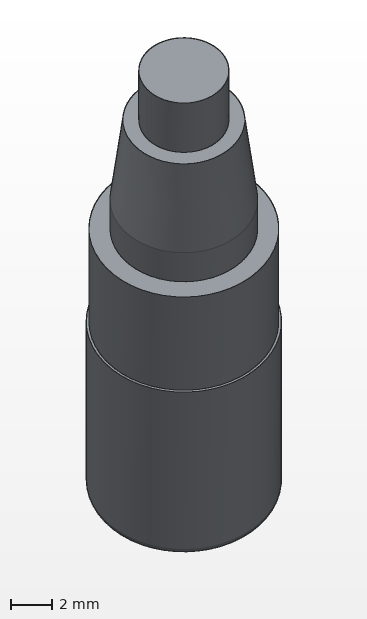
import cadquery as cq

total_height = 29.3
neck_top = 25.8
taper_base = 20.2
shoulder_height = 18.15
sleeve_height = 11.55

sleeve_diameter = 9.52
barrel_diameter = 9.25
collar_diameter = 7.2
neck_diameter = 5.95
cable_diameter = 4.4

base_fillet = 0.4


def revolve_about_z(profile):
    """Turn a closed (radius, height) outline into a round solid about Z."""
    return cq.Workplane("XZ").polyline(profile).close().revolve(360, (0, 0), (0, 1))


def make_shell():
    """Round shell: a wide sleeve with a rounded base edge and a slightly narrower barrel."""
    profile = [
        (0, 0),
        (sleeve_diameter / 2, 0),
        (sleeve_diameter / 2, sleeve_height),
        (barrel_diameter / 2, sleeve_height),
        (barrel_diameter / 2, shoulder_height),
        (0, shoulder_height),
    ]
    return revolve_about_z(profile).faces("<Z").edges().fillet(base_fillet)


def make_boot():
    """Boot standing on the shell: straight collar, tapered neck and plain cable end."""
    profile = [
        (0, shoulder_height),
        (collar_diameter / 2, shoulder_height),
        (collar_diameter / 2, taper_base),
        (neck_diameter / 2, neck_top),
        (cable_diameter / 2, neck_top),
        (cable_diameter / 2, total_height),
        (0, total_height),
    ]
    return revolve_about_z(profile)


shell = make_shell()
boot = make_boot()

result = cq.Compound.makeCompound([shell.val(), boot.val()])